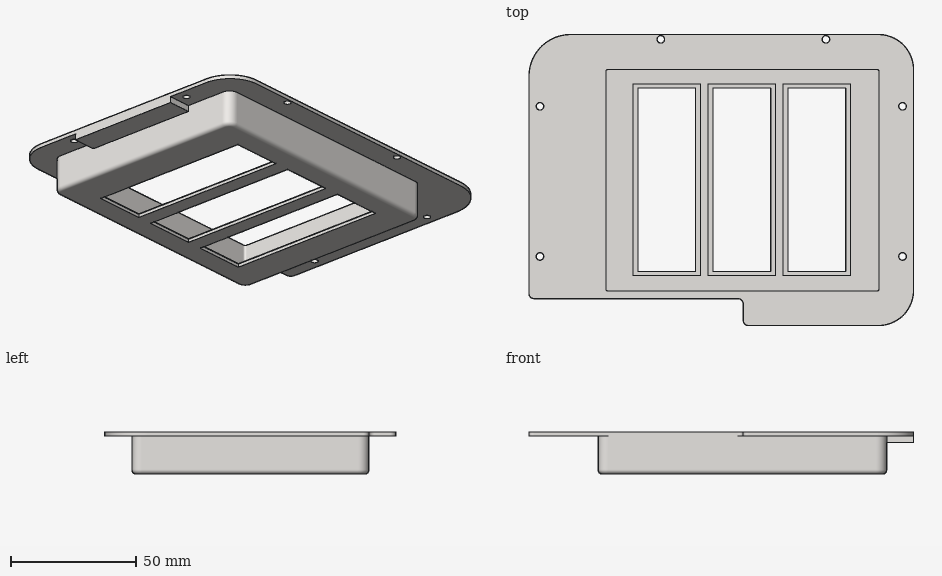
import cadquery as cq

flange_length = 153.8
flange_width = 116.5
total_height = 17.0
flange_thickness = 1.7
notch_length = 85.7
notch_width = 10.8
large_corner_radius = 16.8
corner_radius = 14.2
small_corner_radius = 2.2

wall = 3.1
floor_thickness = 3.0
tub_left = 27.7
tub_length = 115.4
tub_front = notch_width
tub_width = 94.8
tub_corner_radius = 4.0
tub_bottom_fillet = 1.7

window_count = 3
window_pitch = 30.0
window_left = 41.7
window_front = 20.0
window_length = 27.0
window_width = 76.6
ledge_length = 2.0
ledge_width = 1.7
recess_depth = 1.5

hole_diameter = 3.0
side_hole_inset = 4.5
side_hole_places = (27.7, 87.7)
back_hole_inset = 2.0
back_hole_places = (52.8, 118.8)

pad_depth = 2.6
pad_width = 50.8

tub_right = tub_left + tub_length
flange_bottom = total_height - flange_thickness


def block(left, front, bottom, length, width, height):
    """Box placed by its lower-left-bottom corner."""
    return cq.Workplane("XY").box(length, width, height, centered=False).translate((left, front, bottom))


def make_flange():
    plate = block(0, 0, flange_bottom, flange_length, flange_width, flange_thickness)
    plate = plate.cut(block(0, 0, flange_bottom, notch_length, notch_width, flange_thickness))
    plate = plate.edges("|Z and <X and >Y").fillet(large_corner_radius)
    plate = plate.edges("|Z and >X").fillet(corner_radius)
    small_corners = ((0, notch_width), (notch_length, notch_width), (notch_length, 0))
    for x, y in small_corners:
        corner = cq.selectors.NearestToPointSelector((x, y, flange_bottom + flange_thickness / 2))
        plate = plate.edges("|Z").edges(corner).fillet(small_corner_radius)
    return plate


def make_tub():
    tub = block(tub_left, tub_front, 0, tub_length, tub_width, total_height)
    tub = tub.edges("|Z").fillet(tub_corner_radius)
    return tub.faces("<Z").edges().fillet(tub_bottom_fillet)


def make_pocket():
    pocket = block(
        tub_left + wall,
        tub_front + wall,
        floor_thickness,
        tub_length - 2 * wall,
        tub_width - 2 * wall,
        total_height - floor_thickness,
    )
    return pocket.edges("|Z").fillet(tub_corner_radius - wall)


def make_window(left):
    recess = block(
        left, window_front, floor_thickness - recess_depth, window_length, window_width, recess_depth
    )
    opening = block(
        left + ledge_length,
        window_front + ledge_width,
        0,
        window_length - 2 * ledge_length,
        window_width - 2 * ledge_width,
        floor_thickness,
    )
    return recess.union(opening)


def make_pad():
    front = (side_hole_places[0] + side_hole_places[1] - pad_width) / 2
    left = tub_right - wall
    return block(left, front, flange_bottom - pad_depth, flange_length - left, pad_width, pad_depth)


def make_holes():
    places = [(x, flange_width - back_hole_inset) for x in back_hole_places]
    for y in side_hole_places:
        places += [(side_hole_inset, y), (flange_length - side_hole_inset, y)]
    drill = cq.Workplane("XY").workplane(offset=flange_bottom).pushPoints(places)
    return drill.circle(hole_diameter / 2).extrude(flange_thickness)


result = make_flange().union(make_tub()).union(make_pad())
result = result.cut(make_pocket()).cut(make_holes())
for index in range(window_count):
    result = result.cut(make_window(window_left + index * window_pitch))